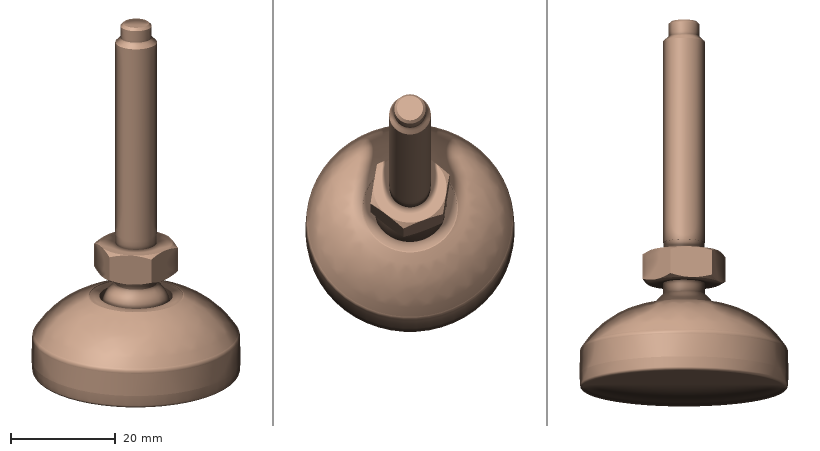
import cadquery as cq
import math

total_height = 71.2
bottom_round = 0.6
seam_level = 2.55
side_top = 7.05
shoulder_top = 8.0
base_height = 15.6
nut_bottom = 20.35
nut_height = 6.0
thread_start = 28.3

bottom_radius = 19.9
seam_radius = 20.0
side_top_radius = 19.9
shoulder_radius = 19.5
dome_top_radius = 9.2
shoulder_mid_radius = 19.8
shoulder_mid_level = 7.55
dome_mid_radius = 15.1
dome_mid_level = 12.7

rim_width = 0.2
recess_depth = 0.15
socket_radius = 14.0 / 2
ball_radius = 13.3 / 2

shank_radius = 8.0 / 2
stem_radius = 8.05 / 2
neck_radius = 7.8 / 2
tip_radius = 6.0 / 2
tip_length = 2.85
tip_chamfer = 0.5
shank_chamfer = shank_radius - tip_radius
ball_stem_top = 18.2
ball_center = ball_stem_top - math.sqrt(ball_radius**2 - stem_radius**2)

across_flats = 14.0
across_corners = across_flats / math.cos(math.pi / 6)
nut_chamfer_angle = math.radians(30)


def make_base():
    """Revolved domed foot with a recessed top and a socket around the ball."""
    recess_level = base_height - recess_depth
    recess_radius = dome_top_radius - rim_width
    return (
        cq.Workplane("XZ")
        .lineTo(bottom_radius - bottom_round, 0)
        .radiusArc((bottom_radius, bottom_round), -bottom_round)
        .lineTo(seam_radius, seam_level)
        .lineTo(side_top_radius, side_top)
        .threePointArc((shoulder_mid_radius, shoulder_mid_level), (shoulder_radius, shoulder_top))
        .threePointArc((dome_mid_radius, dome_mid_level), (dome_top_radius, base_height))
        .lineTo(recess_radius, base_height)
        .lineTo(recess_radius, recess_level)
        .lineTo(socket_radius, recess_level)
        .lineTo(socket_radius, ball_center)
        .lineTo(0, ball_center)
        .close()
        .revolve(360, (0, 0), (0, 1))
    )


def make_stud():
    """Revolved stud: ball end, stem, neck, shank and reduced tip."""
    tip_bottom = total_height - tip_length
    nut_top = nut_bottom + nut_height
    return (
        cq.Workplane("XZ")
        .moveTo(0, ball_center - ball_radius)
        .threePointArc((ball_radius, ball_center), (stem_radius, ball_stem_top))
        .lineTo(stem_radius, nut_top)
        .lineTo(neck_radius, nut_top)
        .lineTo(neck_radius, thread_start)
        .lineTo(shank_radius, thread_start)
        .lineTo(shank_radius, tip_bottom - shank_chamfer)
        .lineTo(tip_radius, tip_bottom)
        .lineTo(tip_radius, total_height - tip_chamfer)
        .lineTo(tip_radius - tip_chamfer, total_height)
        .lineTo(0, total_height)
        .close()
        .revolve(360, (0, 0), (0, 1))
    )


def make_nut():
    """Hexagon with corners along Y, bevelled at both ends."""
    flat_radius = across_flats / 2
    corner_radius = across_corners / 2
    bevel_height = (corner_radius - flat_radius) * math.tan(nut_chamfer_angle)
    hexagon = cq.Workplane("XY").polygon(6, across_corners).extrude(nut_height)
    hexagon = hexagon.rotate((0, 0, 0), (0, 0, 1), 30)
    bevel_envelope = (
        cq.Workplane("XZ")
        .lineTo(flat_radius, 0)
        .lineTo(corner_radius, bevel_height)
        .lineTo(corner_radius, nut_height - bevel_height)
        .lineTo(flat_radius, nut_height)
        .lineTo(0, nut_height)
        .close()
        .revolve(360, (0, 0), (0, 1))
    )
    return hexagon.intersect(bevel_envelope).translate((0, 0, nut_bottom))


result = make_base().union(make_stud()).union(make_nut())